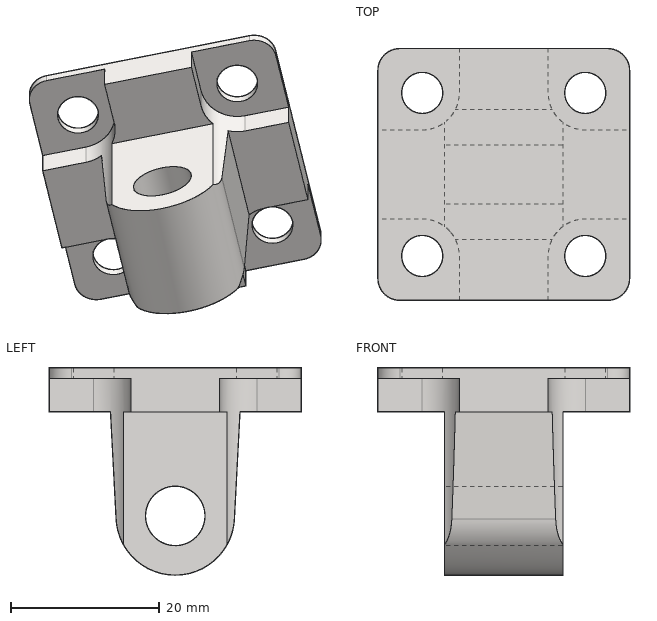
import cadquery as cq
import math

plate_side = 34.0
plate_thickness = 1.5
plate_corner_radius = 3.0
total_height = 28.0
bolt_spacing = 22.0
bolt_hole_diameter = 5.5
bolt_clearance_radius = 5.0
block_bottom_depth = 6.0
lug_width = 16.0
lug_taper = math.radians(3)
bore_diameter = 8.0

half_side = plate_side / 2
bolt_offset = bolt_spacing / 2
lug_radius = lug_width / 2
bore_z = lug_radius - total_height


def make_plate():
    """Square mounting plate with rounded corners."""
    plate = cq.Workplane("XY").rect(plate_side, plate_side).extrude(-plate_thickness)
    return plate.edges("|Z").fillet(plate_corner_radius)


def make_block():
    """Square block under the plate, before its corners are cleared."""
    block = cq.Workplane("XY").workplane(offset=-plate_thickness)
    return block.rect(plate_side, plate_side).extrude(plate_thickness - block_bottom_depth)


def make_lug():
    """Hanging lug whose tapered sides run tangent into a round end."""
    tangent_y = lug_radius * math.cos(lug_taper)
    tangent_z = bore_z - lug_radius * math.sin(lug_taper)
    root_z = -block_bottom_depth
    root_y = tangent_y + (root_z - tangent_z) * math.tan(lug_taper)
    return (
        cq.Workplane("YZ")
        .moveTo(-root_y, root_z)
        .lineTo(-tangent_y, tangent_z)
        .threePointArc((0, -total_height), (tangent_y, tangent_z))
        .lineTo(root_y, root_z)
        .close()
        .extrude(lug_width / 2, both=True)
    )


def make_corner_clearance(x_sign, y_sign):
    """Square corner relief below the plate, rounded concentric with the bolt hole."""
    inner_edge = bolt_offset - bolt_clearance_radius
    side = half_side - inner_edge
    center = inner_edge + side / 2
    inner_corner = ("<" if x_sign > 0 else ">") + "X"
    inner_corner += " and " + ("<" if y_sign > 0 else ">") + "Y"
    return (
        cq.Workplane("XY")
        .workplane(offset=-plate_thickness)
        .center(x_sign * center, y_sign * center)
        .rect(side, side)
        .extrude(plate_thickness - total_height)
        .edges("|Z")
        .edges(inner_corner)
        .fillet(bolt_clearance_radius)
    )


body = make_block().union(make_lug())
for x_sign in (-1, 1):
    for y_sign in (-1, 1):
        body = body.cut(make_corner_clearance(x_sign, y_sign))

bore = (
    cq.Workplane("YZ")
    .center(0, bore_z)
    .circle(bore_diameter / 2)
    .extrude(lug_width, both=True)
)
body = body.cut(bore)

bolt_holes = (
    cq.Workplane("XY")
    .rarray(bolt_spacing, bolt_spacing, 2, 2)
    .circle(bolt_hole_diameter / 2)
    .extrude(-plate_thickness)
)

result = make_plate().cut(bolt_holes).union(body)